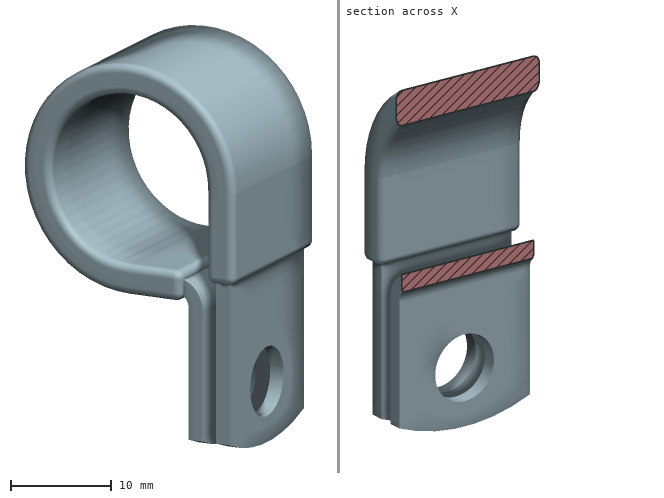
import cadquery as cq
import math


overall_height = 39.53
loop_diameter = 23.67

cushion_width = 17.4625
bore_diameter = 17.4625
right_end_z = -9.55
bottom_end_x = 5.9

strap_width = 15.875
leg_gap = 1.58
bend_outer_radius = 3.0
tip_rise = 1.62
hole_diameter = 7.14
hole_z = -21.4

outer_radius = loop_diameter / 2
inner_radius = bore_diameter / 2
edge_radius = (cushion_width - strap_width) / 2
strap_thickness = outer_radius - inner_radius - 2 * edge_radius
mid_radius = (inner_radius + outer_radius) / 2
strap_outer = mid_radius + strap_thickness / 2
strap_inner = mid_radius - strap_thickness / 2
tip_z = outer_radius - overall_height
left_leg_outer_x = strap_inner - leg_gap
left_leg_inner_x = left_leg_outer_x - strap_thickness
bend_inner_radius = bend_outer_radius - strap_thickness
bend_x = left_leg_outer_x - bend_outer_radius
bend_z = -strap_inner - bend_outer_radius


def profile_plane(width):
    """XZ plane placed so that an extrusion of the given width is centred on Y = 0."""
    return cq.Workplane("XZ", origin=(0, width / 2, 0))


def loop_middle(radius):
    """Point halfway along the three-quarter loop."""
    return (-radius * math.sqrt(0.5), radius * math.sqrt(0.5))


def make_cushion():
    """Three-quarter loop with a straight run at each end and every edge rounded."""
    blank = (
        profile_plane(cushion_width)
        .moveTo(bottom_end_x, -outer_radius)
        .lineTo(0, -outer_radius)
        .threePointArc(loop_middle(outer_radius), (outer_radius, 0))
        .lineTo(outer_radius, right_end_z)
        .lineTo(inner_radius, right_end_z)
        .lineTo(inner_radius, 0)
        .threePointArc(loop_middle(inner_radius), (0, -inner_radius))
        .lineTo(bottom_end_x, -inner_radius)
        .close()
        .extrude(cushion_width)
    )
    right_end_face = cq.selectors.NearestToPointSelector((mid_radius, 0, right_end_z))
    bottom_end_face = cq.selectors.NearestToPointSelector((bottom_end_x, 0, -mid_radius))
    side_faces = blank.faces("<Y or >Y")
    end_faces = blank.faces(right_end_face).add(blank.faces(bottom_end_face))
    return side_faces.add(end_faces).edges().fillet(edge_radius)


def make_right_leg():
    """Straight leg hanging from the middle of the cushion's right-hand end."""
    return (
        profile_plane(strap_width)
        .moveTo(strap_inner, 0)
        .lineTo(strap_outer, 0)
        .lineTo(strap_outer, tip_z)
        .lineTo(strap_inner, tip_z)
        .close()
        .extrude(strap_width)
    )


def bend_middle(radius):
    """Point halfway along the quarter bend."""
    return (bend_x + radius * math.sqrt(0.5), bend_z + radius * math.sqrt(0.5))


def make_left_leg():
    """Leg that leaves the cushion's bottom run and bends down beside the right leg."""
    return (
        profile_plane(strap_width)
        .moveTo(0, -strap_inner)
        .lineTo(bend_x, -strap_inner)
        .threePointArc(bend_middle(bend_outer_radius), (left_leg_outer_x, bend_z))
        .lineTo(left_leg_outer_x, tip_z)
        .lineTo(left_leg_inner_x, tip_z)
        .lineTo(left_leg_inner_x, bend_z)
        .threePointArc(bend_middle(bend_inner_radius), (bend_x, -strap_outer))
        .lineTo(0, -strap_outer)
        .close()
        .extrude(strap_width)
    )


def make_leg_outline():
    """Tool spanning both legs along X: rounded tip, with the bolt hole removed."""
    half_width = strap_width / 2
    return (
        cq.Workplane("YZ")
        .moveTo(-half_width, 0)
        .lineTo(-half_width, tip_z + tip_rise)
        .threePointArc((0, tip_z), (half_width, tip_z + tip_rise))
        .lineTo(half_width, 0)
        .close()
        .moveTo(0, hole_z)
        .circle(hole_diameter / 2)
        .extrude(outer_radius)
    )


legs = make_left_leg().union(make_right_leg()).intersect(make_leg_outline())
result = make_cushion().union(legs)